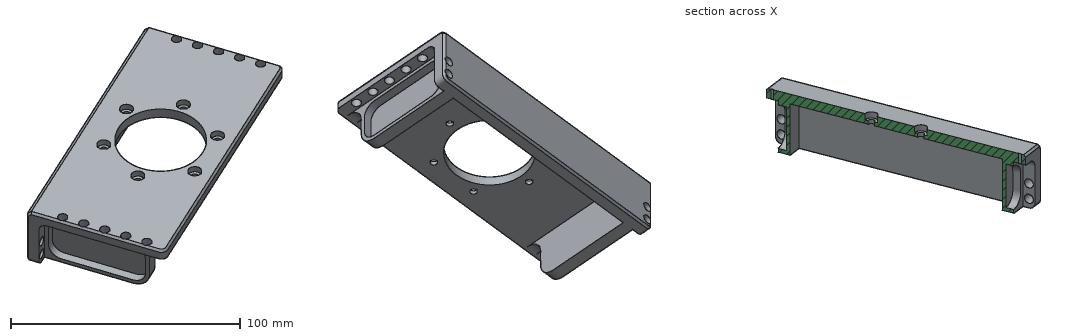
import cadquery as cq
import math

LENGTH_X = 66.0
LENGTH_Y = 131.0
HEIGHT = 30.0
PLATE_THICKNESS = 5.0
WALL_THICKNESS = 6.0
CORNER_RADIUS = 3.0
BEND_CHAMFER = 2.0
EDGE_CHAMFER = 1.0
INNER_BEND_RADIUS = 4.0

GUSSET_INSET = 6.0
GUSSET_THICKNESS = 6.0
GUSSET_END_X = 56.0
GUSSET_CORNER_RADIUS = 8.0
GUSSET_OVERLAP = 1.0
RIM_WIDTH = 2.0
POCKET_DEPTH = 4.0
POCKET_RADIUS = GUSSET_CORNER_RADIUS - RIM_WIDTH

BORE_X = 35.5
BORE_DIAMETER = 40.0
SCREW_COUNT = 6
FIRST_SCREW_ANGLE = 90.0
FULL_TURN = 360.0
SCREW_CIRCLE_DIAMETER = 50.0
SCREW_DIAMETER = 3.2
COUNTERBORE_DIAMETER = 6.0
COUNTERBORE_DEPTH = 3.0

MOUNT_DIAMETER = 4.4
MOUNT_EDGE_DISTANCE = 3.0
PLATE_HOLE_START_X = 16.0
PLATE_HOLE_PITCH = 10.0
PLATE_HOLE_COUNT = 5
WALL_HOLE_HEIGHTS = (4.5, 12.0)

HALF_Y = LENGTH_Y / 2
PLATE_BOTTOM = HEIGHT - PLATE_THICKNESS


def l_bracket():
    """Plate and wall with rounded free corners and chamfered outer edges."""
    envelope = cq.Workplane("XY").box(LENGTH_X, LENGTH_Y, HEIGHT, centered=(False, True, False))
    envelope = envelope.edges("|Z and >X").fillet(CORNER_RADIUS)
    envelope = envelope.edges("|X and <Z").fillet(CORNER_RADIUS)
    envelope = envelope.edges("|Y and <X and >Z").chamfer(BEND_CHAMFER)
    skin = envelope.faces("<X or >Z or <(1,0,-1)")
    envelope = skin.edges("not (|Y and <(1,0,-1))").chamfer(EDGE_CHAMFER)
    return envelope.cut(inner_space())


def inner_space():
    """Volume below the plate and beside the wall, with a rounded inner bend."""
    space = cq.Workplane("XY").box(LENGTH_X, LENGTH_Y, PLATE_BOTTOM, centered=(False, True, False))
    space = space.translate((WALL_THICKNESS, 0, 0))
    return space.edges("|Y and <X and >Z").fillet(INNER_BEND_RADIUS)


def gusset():
    """Pocketed end gusset; its pocket opens toward -Y."""
    outer_y = -HALF_Y + GUSSET_INSET
    left = WALL_THICKNESS - GUSSET_OVERLAP
    top = PLATE_BOTTOM + GUSSET_OVERLAP
    radius = GUSSET_CORNER_RADIUS
    slant = radius * (1 - math.sqrt(0.5))
    flare_x = GUSSET_END_X + radius
    plate = (
        cq.Workplane("XZ", origin=(0, outer_y, 0))
        .moveTo(left, 0)
        .lineTo(GUSSET_END_X - radius, 0)
        .threePointArc((GUSSET_END_X - slant, slant), (GUSSET_END_X, radius))
        .lineTo(GUSSET_END_X, PLATE_BOTTOM - radius)
        .threePointArc((GUSSET_END_X + slant, PLATE_BOTTOM - slant), (flare_x, PLATE_BOTTOM))
        .lineTo(flare_x, top)
        .lineTo(left, top)
        .close()
        .extrude(-GUSSET_THICKNESS)
    )
    pocket_length = GUSSET_END_X - WALL_THICKNESS - 2 * RIM_WIDTH
    pocket_height = PLATE_BOTTOM - 2 * RIM_WIDTH
    pocket = (
        cq.Workplane("XY")
        .box(pocket_length, POCKET_DEPTH, pocket_height, centered=False)
        .edges("|Y")
        .fillet(POCKET_RADIUS)
        .translate((WALL_THICKNESS + RIM_WIDTH, outer_y, RIM_WIDTH))
    )
    return plate.cut(pocket)


def bore_and_screws():
    """Central opening with the surrounding counterbored screw holes."""
    bottom = cq.Workplane("XY", origin=(BORE_X, 0, PLATE_BOTTOM))
    screws_radius = SCREW_CIRCLE_DIAMETER / 2
    bore = bottom.circle(BORE_DIAMETER / 2).extrude(PLATE_THICKNESS)
    screws = (
        bottom.polarArray(screws_radius, FIRST_SCREW_ANGLE, FULL_TURN, SCREW_COUNT)
        .circle(SCREW_DIAMETER / 2)
        .extrude(PLATE_THICKNESS)
    )
    counterbores = (
        cq.Workplane("XY", origin=(BORE_X, 0, HEIGHT))
        .polarArray(screws_radius, FIRST_SCREW_ANGLE, FULL_TURN, SCREW_COUNT)
        .circle(COUNTERBORE_DIAMETER / 2)
        .extrude(-COUNTERBORE_DEPTH)
    )
    return bore.union(screws).union(counterbores)


def mounting_holes():
    """Rows of holes through the plate and the wall near both Y ends."""
    hole_y = HALF_Y - MOUNT_EDGE_DISTANCE
    plate_points = []
    wall_points = []
    for y in (-hole_y, hole_y):
        for index in range(PLATE_HOLE_COUNT):
            plate_points.append((PLATE_HOLE_START_X + index * PLATE_HOLE_PITCH, y))
        for z in WALL_HOLE_HEIGHTS:
            wall_points.append((y, z))
    radius = MOUNT_DIAMETER / 2
    plate_holes = (
        cq.Workplane("XY", origin=(0, 0, PLATE_BOTTOM))
        .pushPoints(plate_points)
        .circle(radius)
        .extrude(PLATE_THICKNESS)
    )
    wall_holes = cq.Workplane("YZ").pushPoints(wall_points).circle(radius).extrude(WALL_THICKNESS)
    return plate_holes.union(wall_holes)


front_gusset = gusset()
result = (
    l_bracket()
    .union(front_gusset)
    .union(front_gusset.mirror("XZ"))
    .cut(bore_and_screws())
    .cut(mounting_holes())
)